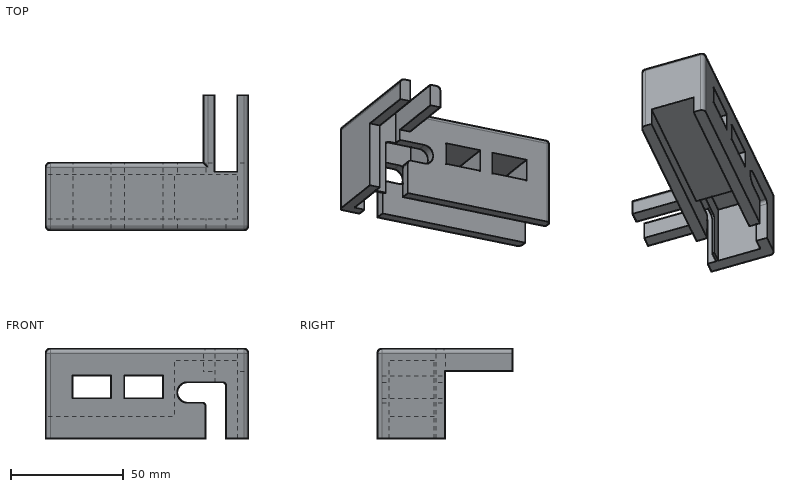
import cadquery as cq

length = 90.0
depth = 60.0
height = 40.0
body_depth = depth / 2
wall = 5.0
edge_radius = 2.0

arm_width = 20.0
arm_height = 10.0
fork_gap = 10.0
fork_start = 26.0

window_width = 17.0
window_height = 10.0
window_sill = 18.0
window_start = 12.0
window_pitch = 23.0
window_count = 2

slot_width = 9.0
slot_right = 80.0
slot_top = 25.0
slot_left = 58.5
slot_corner_diameter = 3.0
slot_corner_radius = slot_corner_diameter / 2

channel_height = 10.0
inner_depth = body_depth - 2 * wall
cavity_right = length - wall
cavity_left = window_start + (window_count - 1) * window_pitch + window_width + wall


def box(x, y, z, size_x, size_y, size_z):
    """Box placed by its lowest corner."""
    return cq.Workplane("XY").box(size_x, size_y, size_z, centered=False).translate((x, y, z))


def outer_block():
    """Rectangular body with a shallow arm, rounded on its outer edges."""
    arm_left = length - arm_width
    body = box(0, 0, 0, length, body_depth, height)
    arm = box(arm_left, 0, height - arm_height, arm_width, depth, arm_height)
    block = body.union(arm).clean()
    top_edges = block.faces(">Z").edges().filter(lambda edge: edge.Center().y < depth - edge_radius)
    corner_edges = block.edges("|Z").filter(
        lambda edge: edge.Center().y < edge_radius
        or edge.Center().x < edge_radius
    )
    return block.newObject(top_edges.vals() + corner_edges.vals()).fillet(edge_radius)


def window(index):
    left = window_start + index * window_pitch
    return box(left, 0, window_sill, window_width, body_depth, window_height)


def angled_slot():
    """Slot with a semicircular closed end and rounded bends."""
    end_radius = slot_width / 2
    branch_bottom = slot_top - slot_width
    entry_left = slot_right - slot_width
    branch_start = slot_left + end_radius
    slot = (
        cq.Workplane("XZ")
        .moveTo(entry_left, 0)
        .lineTo(entry_left, branch_bottom)
        .lineTo(branch_start, branch_bottom)
        .threePointArc((slot_left, slot_top - end_radius), (branch_start, slot_top))
        .lineTo(slot_right, slot_top)
        .lineTo(slot_right, 0)
        .close()
        .extrude(-body_depth)
    )
    bends = slot.edges("|Y").filter(
        lambda edge: edge.Center().x > branch_start + slot_corner_radius
        and edge.Center().z > slot_corner_radius
    )
    return slot.newObject(bends.vals()).fillet(slot_corner_radius)


channel = box(0, wall, 0, cavity_right, inner_depth, channel_height)
cavity = box(cavity_left, wall, 0, cavity_right - cavity_left, inner_depth, height - wall)

fork_left = length - (arm_width + fork_gap) / 2
fork = box(fork_left, fork_start, 0, fork_gap, depth - fork_start, height)

result = outer_block().cut(channel).cut(cavity).cut(fork).cut(angled_slot())
for index in range(window_count):
    result = result.cut(window(index))